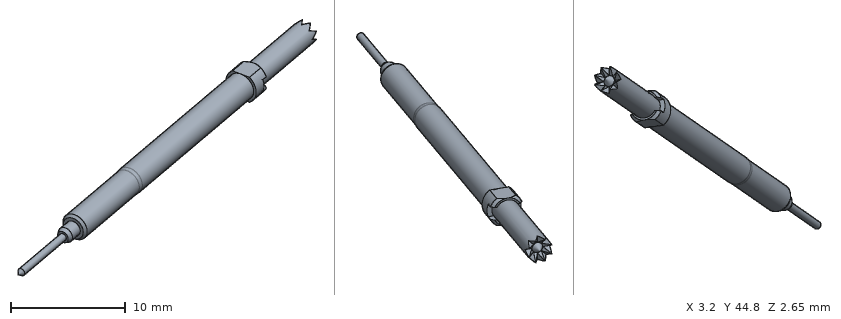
import cadquery as cq
import math

head_end_y = 22.4
tail_end_y = -22.4

head_radius = 2.3 / 2
tooth_count = 8
tooth_depth = 0.75
spike_radius = 0.5

collar_radius = 3.2 / 2
collar_top_y = 14.25
collar_bottom_y = 12.25
collar_length = collar_top_y - collar_bottom_y
collar_middle_y = (collar_top_y + collar_bottom_y) / 2
collar_chamfer = 0.25
across_flats = 2.65
notch_width = 1.2
notch_depth = 0.8

barrel_radius = across_flats / 2
taper_top_y = -5.05
taper_bottom_y = -5.45
lower_barrel_radius = 2.55 / 2
barrel_bottom_y = -13.85
barrel_chamfer_length = 0.25
barrel_chamfer_depth = 0.22

nose_radius = 1.5 / 2
nose_taper_y = -15.05
nose_bottom_y = -15.45
nose_end_radius = 1.1 / 2

pin_radius = 0.35
point_length = 0.5


def revolve_about_y(outline):
    """Turn a closed (radius, y) outline into a solid of revolution about Y."""
    return cq.Workplane("XY").polyline(outline).close().revolve(360, (0, 0), (0, 1))


def turned_body():
    """The whole stepped probe, before any cuts."""
    return revolve_about_y([
        (0, head_end_y),
        (head_radius, head_end_y),
        (head_radius, collar_top_y),
        (collar_radius - collar_chamfer, collar_top_y),
        (collar_radius, collar_top_y - collar_chamfer),
        (collar_radius, collar_bottom_y),
        (barrel_radius, collar_bottom_y),
        (barrel_radius, taper_top_y),
        (lower_barrel_radius, taper_bottom_y),
        (lower_barrel_radius, barrel_bottom_y + barrel_chamfer_length),
        (lower_barrel_radius - barrel_chamfer_depth, barrel_bottom_y),
        (nose_radius, barrel_bottom_y),
        (nose_radius, nose_taper_y),
        (nose_end_radius, nose_bottom_y),
        (pin_radius, nose_bottom_y),
        (pin_radius, tail_end_y + point_length),
        (0, tail_end_y),
    ])


def collar_flat(side):
    """Block that trims the collar flat on its +Z (side = 1) or -Z (side = -1) face."""
    thickness = collar_radius - across_flats / 2
    middle_z = side * (across_flats / 2 + thickness / 2)
    block = cq.Workplane("XY").box(2 * collar_radius, collar_length, thickness)
    return block.translate((0, collar_middle_y, middle_z))


def collar_notches():
    """Slot across X through the collar's upper end, leaving the head's round core."""
    slot = cq.Workplane("XY").box(2 * collar_radius, notch_depth, notch_width)
    core = cq.Workplane("XZ").circle(head_radius).extrude(notch_depth / 2, both=True)
    return slot.cut(core).translate((0, collar_top_y - notch_depth / 2, 0))


def tooth_groove(angle):
    """V groove straight across the head face; neighbouring grooves meet at tooth tips."""
    half_width = head_radius * math.sin(math.pi / tooth_count)
    section = [
        (-half_width, head_end_y),
        (half_width, head_end_y),
        (0, head_end_y - tooth_depth),
    ]
    groove = cq.Workplane("XY").polyline(section).close().extrude(head_radius, both=True)
    return groove.rotate((0, 0, 0), (0, 1, 0), angle)


def head_hollow():
    """Funnel in the head face that makes the teeth slope down towards the axis."""
    return revolve_about_y([
        (0, head_end_y),
        (head_radius, head_end_y),
        (spike_radius, head_end_y - tooth_depth),
        (0, head_end_y - tooth_depth),
    ])


def central_spike():
    """Cone standing on the floor of the hollow, level with the tooth tips."""
    return revolve_about_y([
        (0, head_end_y - tooth_depth),
        (spike_radius, head_end_y - tooth_depth),
        (0, head_end_y),
    ])


result = turned_body().cut(collar_notches())

for side in (1, -1):
    result = result.cut(collar_flat(side))

groove_count = tooth_count // 2
for index in range(groove_count):
    result = result.cut(tooth_groove(index * 180 / groove_count))

result = result.cut(head_hollow()).union(central_spike())